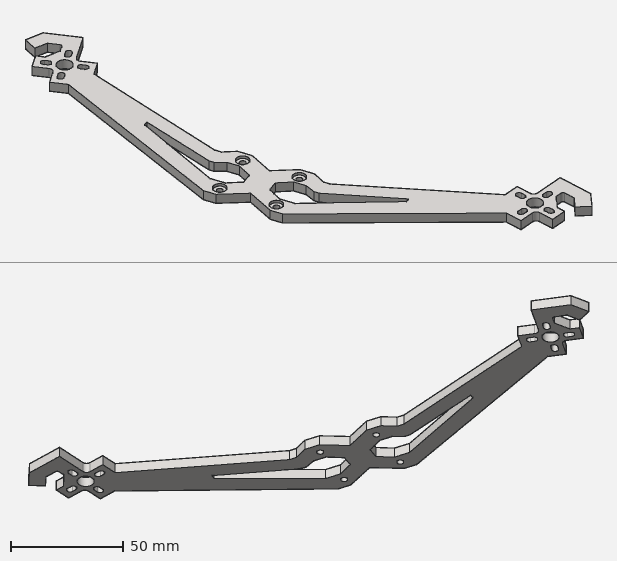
import cadquery as cq
import math

length = 282.0
depth = 79.2
thickness = 5.0

hub_half_depth = 16.5
top_pad_inner_x = 11.8
top_pad_outer_x = 19.2
top_notch_y = 10.0
bottom_pad_inner_x = 13.5
bottom_pad_outer_x = 19.7
bottom_notch_y = 9.0
window_inner_x = 6.5
window_inner_y = 2.8
window_corner_x = 13.5
window_half_depth = 7.0

screw_spacing_x = 28.2
screw_spacing_y = 23.0
screw_diameter = 3.0
counterbore_diameter = 6.5
counterbore_depth = 1.5

arm_step_y = 13.0
arm_step_inner_x = 25.5
arm_step_outer_x = 28.8
arm_lower_offset = 4.5
slit_step_y = 4.5
slit_step_inner_x = 24.8
slit_step_outer_x = 27.3
slit_upper_x = 19.7
slit_lower_x = 21.1
slit_end_x = 65.0
slit_end_top_y = 18.3
slit_end_bottom_y = 16.0

mount_tilt = 15.0
shaft_diameter = 7.5
tab_reach = 14.0
tab_width = 8.2
tab_half_width = tab_width / 2
tab_fillet = 2.3
slot_radius = 8.5
slot_length = 5.0
slot_width = 3.0

hook_top = 21.7
hook_bend = 14.0
hook_throat_top = 14.5
hook_throat_side = 4.0
hook_throat_bend = 10.7
hook_end_sum = -6.0
throat_diagonal = 13.8
throat_fillet = 1.0


def tilt(u, v):
    """Turn a mount-frame offset into an X, Y offset."""
    angle = math.radians(mount_tilt)
    x = u * math.cos(angle) - v * math.sin(angle)
    y = u * math.sin(angle) + v * math.cos(angle)
    return x, y


def on_diagonals(difference, total):
    """Mount-frame point where v - u = difference and u + v = total."""
    return (total - difference) / 2, (total + difference) / 2


hook_outer_end = on_diagonals(hook_top + hook_bend, hook_end_sum)
hook_inner_end = on_diagonals(hook_throat_top + hook_throat_bend, hook_end_sum)

mount_x = -length / 2 - tilt(*hook_outer_end)[0]
mount_y = depth - hub_half_depth - tilt(tab_half_width, hook_top)[1]


def at_mount(u, v):
    x, y = tilt(u, v)
    return mount_x + x, mount_y + y


def plate(points):
    return cq.Workplane("XY").polyline(points).close().extrude(thickness)


def arm_and_hub():
    """Left half of the hub with its arm, solid, up to the mount tabs."""
    return plate([
        (0, top_notch_y),
        (-top_pad_inner_x, hub_half_depth),
        (-top_pad_outer_x, hub_half_depth),
        (-arm_step_inner_x, arm_step_y),
        (-arm_step_outer_x, arm_step_y),
        at_mount(tab_reach, -tab_half_width),
        at_mount(0, 0),
        at_mount(tab_half_width, -tab_reach),
        at_mount(arm_lower_offset, -tab_reach),
        (-bottom_pad_outer_x, -hub_half_depth),
        (-bottom_pad_inner_x, -hub_half_depth),
        (0, -bottom_notch_y),
    ])


def window():
    """Hub window that runs out into the tapering slit of the arm."""
    return plate([
        (-window_inner_x, window_inner_y),
        (-window_corner_x, window_half_depth),
        (-slit_upper_x, window_half_depth),
        (-slit_step_inner_x, slit_step_y),
        (-slit_step_outer_x, slit_step_y),
        (-slit_end_x, slit_end_top_y),
        (-slit_end_x, slit_end_bottom_y),
        (-slit_lower_x, -window_half_depth),
        (-window_corner_x, -window_half_depth),
        (-window_inner_x, -window_inner_y),
    ])


def mount():
    """Motor mount: three square tabs and the hook, with filleted inner corners."""
    w = tab_half_width
    outline = [
        (w, w),
        (w, hook_top),
        (-hook_bend, hook_top),
        hook_outer_end,
        hook_inner_end,
        (-hook_throat_bend, hook_throat_top),
        (-hook_throat_side, hook_throat_top),
        (-hook_throat_side, throat_diagonal - hook_throat_side),
        (w - throat_diagonal, w),
        (-tab_reach, w),
        (-tab_reach, -w),
        (-w, -w),
        (-w, -tab_reach),
        (w, -tab_reach),
        (w, -w),
        (tab_reach, -w),
        (tab_reach, w),
    ]
    body = plate([at_mount(u, v) for u, v in outline])
    inner_corners = [
        (w, w, tab_fillet),
        (-w, -w, tab_fillet),
        (-hook_throat_side, hook_throat_top, throat_fillet),
    ]
    for u, v, radius in inner_corners:
        x, y = at_mount(u, v)
        nearest = cq.selectors.NearestToPointSelector((x, y, thickness / 2))
        body = body.edges("|Z").edges(nearest).fillet(radius)
    return body


def mount_holes():
    """Shaft hole and the four radial screw slots around it."""
    holes = cq.Workplane("XY").center(mount_x, mount_y).circle(shaft_diameter / 2).extrude(thickness)
    for quarter in range(4):
        angle = mount_tilt + 90 * quarter
        direction = math.radians(angle)
        x = mount_x + slot_radius * math.cos(direction)
        y = mount_y + slot_radius * math.sin(direction)
        slot = cq.Workplane("XY").center(x, y).slot2D(slot_length, slot_width, angle).extrude(thickness)
        holes = holes.union(slot)
    return holes


half = arm_and_hub().union(mount()).cut(window()).cut(mount_holes())

result = (
    half.union(half.mirror("YZ"))
    .faces(">Z")
    .workplane(origin=(0, 0, thickness))
    .rarray(screw_spacing_x, screw_spacing_y, 2, 2)
    .cboreHole(screw_diameter, counterbore_diameter, counterbore_depth)
)